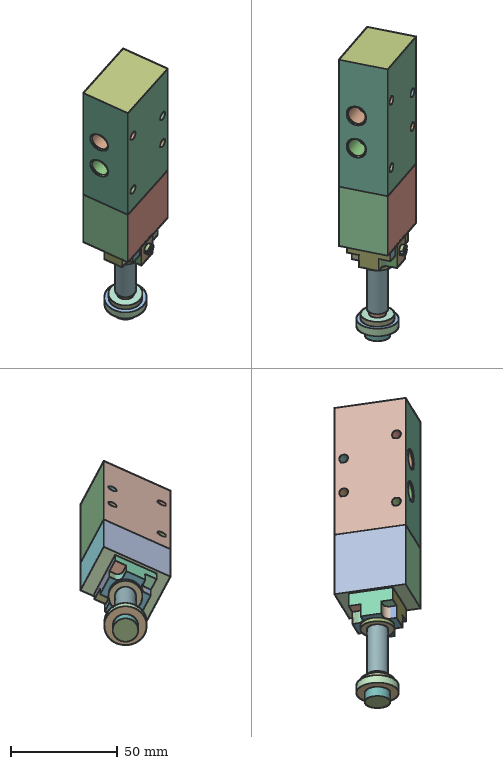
import cadquery as cq

WIDTH = 25.0
DEPTH = 35.0
VALVE_HEIGHT = 68.0
PILOT_BOTTOM = -100.0

PORT_DIAMETER = 8.8
PORT_MOUTH_DIAMETER = 10.0
PORT_DEPTH = 12.0
PORT_X = -3.5
PORT_MIDDLE_Z = -37.0
PORT_HALF_SPACING = 8.6

MOUNT_DIAMETER = 4.3
MOUNT_OFFSET_Y = 13.0
REAR_HALF_SPACING = 9.1
FRONT_HALF_SPACING = 18.0

NECK_LEFT = -11.1
NECK_RIGHT = 11.1
NECK_TAB_RIGHT = 12.0
NECK_DEPTH = 21.7
NECK_STEP_Z = -106.5
NECK_BOTTOM_Z = -113.0
ARM_WIDTH = 10.0
CORNER_RADIUS = 3.0

FLANGE_DIAMETER = 16.0
STEM_SECTIONS = [
    (FLANGE_DIAMETER, -115.0),
    (10.0, -140.0),
    (8.0, -142.5),
    (FLANGE_DIAMETER, -145.0),
    (20.0, -149.0),
    (12.0, -154.0),
]

SCREW_DIAMETER = 5.2
SCREW_Z = -105.6
SCREW_END_X = 26.5 - WIDTH / 2
SLOT_WIDTH = 1.2


def block(x_min, x_max, depth, z_min, z_max):
    """Box centred on Y = 0, between the given X and Z limits."""
    return cq.Workplane("XY").box(
        x_max - x_min, depth, z_max - z_min, centered=(False, True, False)
    ).translate((x_min, 0, z_min))


def make_port(z):
    """Cutter for one blind port with a countersunk mouth."""
    port = cq.Workplane("XZ", origin=(PORT_X, -DEPTH / 2, z)).circle(PORT_DIAMETER / 2).extrude(-PORT_DEPTH)
    chamfer = (PORT_MOUTH_DIAMETER - PORT_DIAMETER) / 2
    mouth = cq.Workplane("XY").add(
        cq.Solid.makeCone(
            PORT_MOUTH_DIAMETER / 2,
            PORT_DIAMETER / 2,
            chamfer,
            pnt=cq.Vector(PORT_X, -DEPTH / 2, z),
            dir=cq.Vector(0, 1, 0),
        )
    )
    return port.union(mouth)


def make_valve_block():
    """Upper block with two ports and four cross holes."""
    valve = block(-WIDTH / 2, WIDTH / 2, DEPTH, -VALVE_HEIGHT, 0)
    for side in (-1, 1):
        valve = valve.cut(make_port(PORT_MIDDLE_Z + side * PORT_HALF_SPACING))

    mount_points = []
    for side in (-1, 1):
        mount_points.append((-MOUNT_OFFSET_Y, PORT_MIDDLE_Z + side * FRONT_HALF_SPACING))
        mount_points.append((MOUNT_OFFSET_Y, PORT_MIDDLE_Z + side * REAR_HALF_SPACING))
    holes = (
        cq.Workplane("YZ", origin=(-WIDTH / 2, 0, 0))
        .pushPoints(mount_points)
        .circle(MOUNT_DIAMETER / 2)
        .extrude(WIDTH)
    )
    return valve.cut(holes)


def make_neck():
    """Neck whose lower half is a cross with rounded inner corners."""
    upper = block(NECK_LEFT, NECK_RIGHT, NECK_DEPTH, NECK_STEP_Z, PILOT_BOTTOM)
    tab = block(NECK_RIGHT, NECK_TAB_RIGHT, ARM_WIDTH, NECK_STEP_Z, PILOT_BOTTOM)
    arm_along_x = block(NECK_LEFT, NECK_TAB_RIGHT, ARM_WIDTH, NECK_BOTTOM_Z, NECK_STEP_Z)
    arm_along_y = block(-ARM_WIDTH / 2, ARM_WIDTH / 2, NECK_DEPTH, NECK_BOTTOM_Z, NECK_STEP_Z)
    cross = arm_along_x.union(arm_along_y)
    inner_corners = cq.selectors.BoxSelector(
        (-ARM_WIDTH, -ARM_WIDTH, NECK_BOTTOM_Z), (ARM_WIDTH, ARM_WIDTH, NECK_STEP_Z)
    )
    cross = cross.edges("|Z").edges(inner_corners).fillet(CORNER_RADIUS)
    return upper.union(tab).union(cross)


def make_stem():
    """Stepped round stem, revolved about Z."""
    top_z = NECK_BOTTOM_Z
    outline = cq.Workplane("XZ").moveTo(0, top_z)
    for diameter, bottom_z in STEM_SECTIONS:
        outline = outline.lineTo(diameter / 2, top_z)
        outline = outline.lineTo(diameter / 2, bottom_z)
        top_z = bottom_z
    return outline.lineTo(0, top_z).close().revolve(360, (0, 0, 0), (0, 1, 0))


def make_screw_head():
    """Round head with a slot running along Y."""
    length = SCREW_END_X - NECK_TAB_RIGHT
    head = cq.Workplane("YZ", origin=(NECK_TAB_RIGHT, 0, SCREW_Z)).circle(SCREW_DIAMETER / 2).extrude(length)
    slot = block(
        NECK_TAB_RIGHT, SCREW_END_X, SCREW_DIAMETER, SCREW_Z - SLOT_WIDTH / 2, SCREW_Z + SLOT_WIDTH / 2
    )
    return head.cut(slot)


def make_pilot():
    """Pilot block with neck, solenoid stem and override screw head."""
    pilot = block(-WIDTH / 2, WIDTH / 2, DEPTH, PILOT_BOTTOM, -VALVE_HEIGHT)
    return pilot.union(make_neck()).union(make_stem()).union(make_screw_head())


valve_block = make_valve_block()
pilot = make_pilot()

result = cq.Compound.makeCompound([valve_block.val(), pilot.val()])